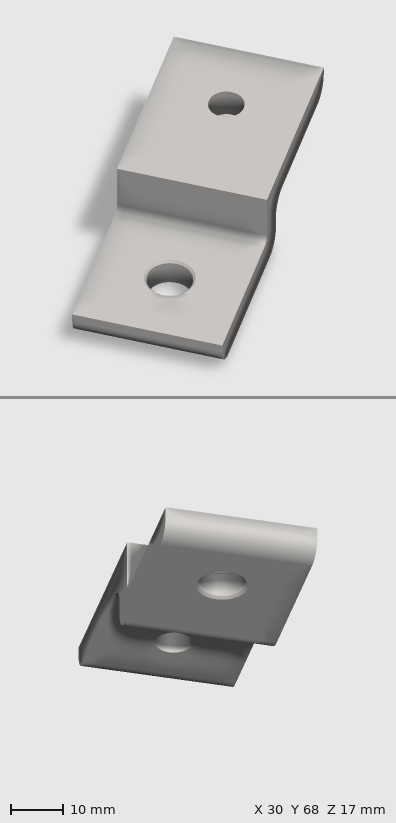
import cadquery as cq

length = 68.0
width = 30.0
height = 17.0
thickness = 6.0
upper_length = 38.0

outer_radius = 4.0
step_radius = 1.5

hole_end_distance = 15.0
small_hole_diameter = 7.0
large_hole_diameter = 9.0
large_hole_chamfer = 0.5

step_front = length - upper_length
step_back = step_front + thickness
upper_underside = height - thickness


def z_profile():
    """Solid Z-shaped strip, extruded along X and centred on X = 0."""
    return (
        cq.Workplane("YZ")
        .moveTo(0, 0)
        .lineTo(step_back, 0)
        .lineTo(step_back, upper_underside)
        .lineTo(length, upper_underside)
        .lineTo(length, height)
        .lineTo(step_front, height)
        .lineTo(step_front, thickness)
        .lineTo(0, thickness)
        .close()
        .extrude(width / 2, both=True)
    )


def round_edge(body, y, z, radius):
    """Fillet the edge running along X at the given Y and Z."""
    edge = cq.selectors.NearestToPointSelector((0, y, z))
    return body.edges("|X").edges(edge).fillet(radius)


def drill(body, y, top, diameter):
    """Cut a vertical through hole in the plate whose top face is at the given Z."""
    cutter = (
        cq.Workplane("XY", origin=(0, y, top))
        .circle(diameter / 2)
        .extrude(-thickness)
    )
    return body.cut(cutter)


result = z_profile()

for y, z in [(0, 0), (step_back, 0), (step_back, upper_underside), (length, upper_underside)]:
    result = round_edge(result, y, z, outer_radius)

result = round_edge(result, step_front, thickness, step_radius)

result = drill(result, length - hole_end_distance, height, small_hole_diameter)
result = drill(result, hole_end_distance, thickness, large_hole_diameter)
for rim_height in (0, thickness):
    rim = cq.selectors.NearestToPointSelector((0, hole_end_distance, rim_height))
    result = result.edges("%CIRCLE").edges(rim).chamfer(large_hole_chamfer)